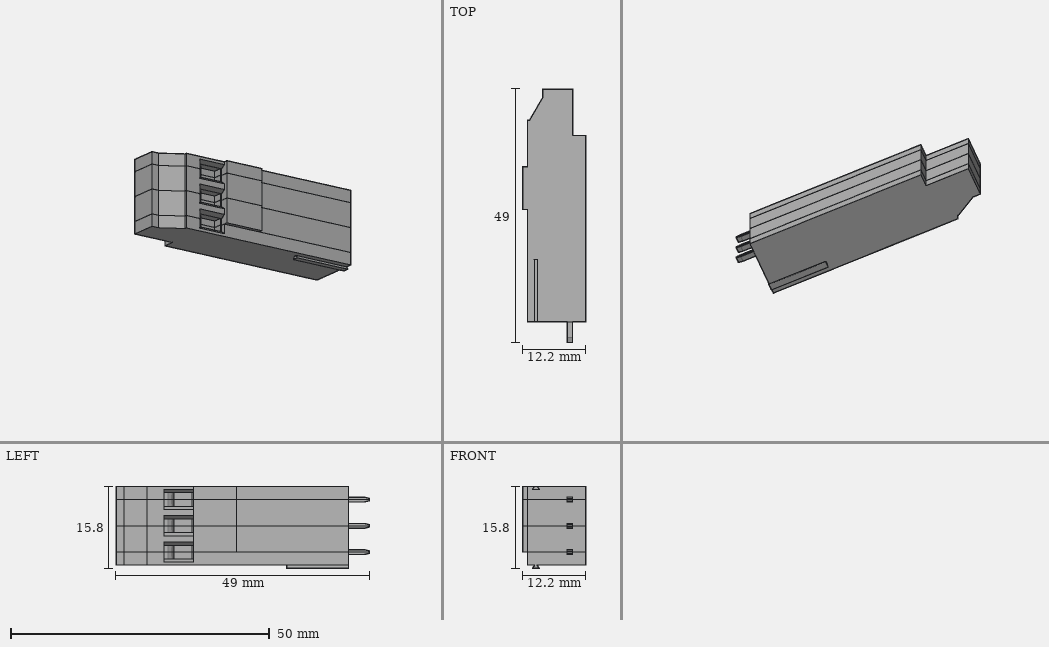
import cadquery as cq


POLE_COUNT = 3
HOUSING_HEIGHT = 15.25
PITCH = HOUSING_HEIGHT / POLE_COUNT
HALF_PITCH = PITCH / 2
HOUSING_DEPTH = 11.3
HOUSING_LENGTH = 45.0
STEP_DEPTH = 2.5
STEP_LENGTH = 8.9
SLOPE_START_X = 0.45
SLOPE_START_DROP = 6.0
SLOPE_END_X = 3.0
SLOPE_END_DROP = 1.55

LIP_OUT = 0.9
LIP_START_Y = 21.7
LIP_END_Y = 30.0

MOUTH_LENGTH = 5.75
MOUTH_HALF_HEIGHT = 1.95
THROAT_HALF_HEIGHT = 1.3
MOUTH_TAPER_DEPTH = 0.9
CAVITY_DEPTH = 1.6
CAVITY_FLAT_LENGTH = 0.8
CAVITY_ROUND_RADIUS = 1.2
CAVITY_END_GAP = 0.3

PIN_X = 7.7
PIN_WIDTH = 1.1
PIN_THICKNESS = 1.0
PIN_LENGTH = 4.0
PIN_TIP_LENGTH = 1.0
PIN_TIP_THICKNESS = 0.5

RAIL_CENTER_X = 1.65
RAIL_NECK_WIDTH = 0.55
RAIL_BASE_WIDTH = 1.3
RAIL_HEIGHT = 0.6
RAIL_LENGTH = 12.0


def box_between(x_start, x_end, y_start, y_end, z_start, z_end):
    size = (x_end - x_start, y_end - y_start, z_end - z_start)
    return cq.Workplane("XY").box(*size, centered=False).translate((x_start, y_start, z_start))


def housing_slab(z_start, z_end):
    """Plain slab with the housing outline between two heights."""
    step_x = HOUSING_DEPTH - STEP_DEPTH
    slope_start_y = HOUSING_LENGTH - SLOPE_START_DROP
    outline = [
        (0, 0),
        (HOUSING_DEPTH, 0),
        (HOUSING_DEPTH, HOUSING_LENGTH - STEP_LENGTH),
        (step_x, HOUSING_LENGTH - STEP_LENGTH),
        (step_x, HOUSING_LENGTH),
        (SLOPE_END_X, HOUSING_LENGTH),
        (SLOPE_END_X, HOUSING_LENGTH - SLOPE_END_DROP),
        (SLOPE_START_X, slope_start_y),
        (0, slope_start_y),
    ]
    return cq.Workplane("XY", origin=(0, 0, z_start)).polyline(outline).close().extrude(z_end - z_start)


def lip(z_start, z_end):
    return box_between(-LIP_OUT, 0, LIP_START_Y, LIP_END_Y, z_start, z_end)


def wire_opening(pole_z):
    """Tapered mouth, then a cavity whose back wall rounds off into a deeper part."""
    mouth_end_y = LIP_END_Y + MOUTH_LENGTH
    mouth = (
        cq.Workplane("XZ", origin=(0, mouth_end_y, pole_z))
        .polyline([
            (0, -MOUTH_HALF_HEIGHT),
            (MOUTH_TAPER_DEPTH, -THROAT_HALF_HEIGHT),
            (MOUTH_TAPER_DEPTH, THROAT_HALF_HEIGHT),
            (0, MOUTH_HALF_HEIGHT),
        ])
        .close()
        .extrude(MOUTH_LENGTH)
    )

    round_start_y = mouth_end_y - CAVITY_FLAT_LENGTH
    round_end_y = round_start_y - CAVITY_ROUND_RADIUS
    cavity_start_y = LIP_END_Y + CAVITY_END_GAP
    hole_depth = CAVITY_DEPTH + CAVITY_ROUND_RADIUS
    cavity = (
        cq.Workplane("XY", origin=(0, 0, pole_z))
        .moveTo(0, mouth_end_y)
        .lineTo(CAVITY_DEPTH, mouth_end_y)
        .lineTo(CAVITY_DEPTH, round_start_y)
        .radiusArc((hole_depth, round_end_y), -CAVITY_ROUND_RADIUS)
        .lineTo(hole_depth, cavity_start_y)
        .lineTo(0, cavity_start_y)
        .close()
        .extrude(THROAT_HALF_HEIGHT, both=True)
    )
    return mouth.union(cavity)


def pin(pole_z):
    """Flat pin whose two faces across Z narrow towards the tip."""
    half_body = PIN_THICKNESS / 2
    half_tip = PIN_TIP_THICKNESS / 2
    shoulder_y = PIN_TIP_LENGTH - PIN_LENGTH
    return (
        cq.Workplane("YZ", origin=(PIN_X, 0, pole_z))
        .polyline([
            (0, half_body),
            (shoulder_y, half_body),
            (-PIN_LENGTH, half_tip),
            (-PIN_LENGTH, -half_tip),
            (shoulder_y, -half_body),
            (0, -half_body),
        ])
        .close()
        .extrude(PIN_WIDTH)
    )


def dovetail(base_z):
    """Dovetail bar along Y with its wide face at base_z and its neck above."""
    half_base = RAIL_BASE_WIDTH / 2
    half_neck = RAIL_NECK_WIDTH / 2
    neck_z = base_z + RAIL_HEIGHT
    return (
        cq.Workplane("XZ")
        .polyline([
            (RAIL_CENTER_X - half_base, base_z),
            (RAIL_CENTER_X + half_base, base_z),
            (RAIL_CENTER_X + half_neck, neck_z),
            (RAIL_CENTER_X - half_neck, neck_z),
        ])
        .close()
        .extrude(-RAIL_LENGTH)
    )


def layer(z_start, z_end, pole_heights):
    """Housing slab with the halves of the openings and pins of the poles on its faces."""
    body = housing_slab(z_start, z_end)
    pin_zone = box_between(0, HOUSING_DEPTH, -PIN_LENGTH, 0, z_start, z_end)
    for pole_z in pole_heights:
        body = body.cut(wire_opening(pole_z))
        body = body.union(pin(pole_z).intersect(pin_zone))
    return body


pole_planes = [HALF_PITCH + i * PITCH for i in range(POLE_COUNT)]
lowest_plane = pole_planes[0]
highest_plane = pole_planes[-1]

bottom_layer = layer(0, lowest_plane, [lowest_plane]).union(dovetail(-RAIL_HEIGHT))

middle_layers = [
    layer(low, high, [low, high]).union(lip(low, high))
    for low, high in zip(pole_planes, pole_planes[1:])
]

top_layer = (
    layer(highest_plane, HOUSING_HEIGHT, [highest_plane])
    .union(lip(highest_plane, HOUSING_HEIGHT))
    .cut(dovetail(HOUSING_HEIGHT - RAIL_HEIGHT))
)

result = cq.Compound.makeCompound([
    bottom_layer.val(),
    *[middle.val() for middle in middle_layers],
    top_layer.val(),
])